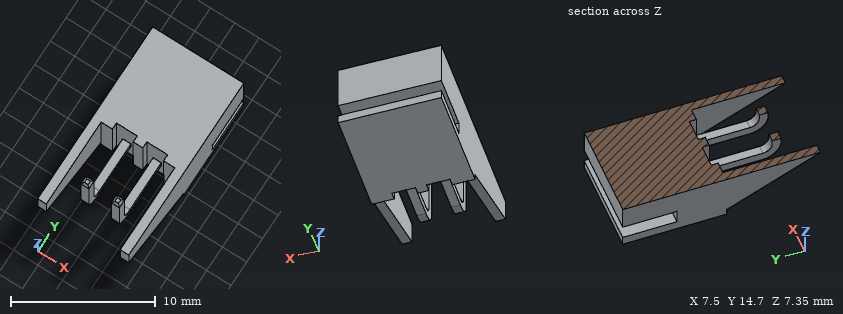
import cadquery as cq

width = 7.5
length = 14.7
height = 5.67
wall = 0.72
block_length = 7.7
block_front = length - block_length
toe_height = 0.49
nose_bottom = 3.7

slot_bottom = 0.75
slot_top = 1.84
slot_depth = 4.01

groove_width = 1.7
groove_depth = 0.51

pitch = 2.5
pin_size = 0.68
pin_bottom = 2.0
pin_top = 7.35
pin_front = 2.15
bend_inner = 0.68
bend_outer = bend_inner + pin_size
tip_chamfer = 0.19
pin_embed = 0.3
groove_back = block_front + groove_depth
pin_positions = (-pitch / 2, pitch / 2)


def box(x_size, y_start, y_end, z_start, z_end):
    """Box centred on X, spanning the given Y and Z ranges."""
    return (
        cq.Workplane("XY", origin=(0, y_start, z_start))
        .box(x_size, y_end - y_start, z_end - z_start, centered=(True, False, False))
    )


def make_housing():
    """Solid block with two tapering side walls, slotted at the back."""
    profile = [
        (block_front, 0),
        (length, 0),
        (length, height),
        (0, height),
        (0, nose_bottom),
        (block_front, toe_height),
    ]
    body = cq.Workplane("YZ").polyline(profile).close().extrude(width / 2, both=True)
    body = body.cut(box(width - 2 * wall, 0, block_front, 0, height))
    body = body.cut(box(width, length - slot_depth, length, slot_bottom, slot_top))
    groove = box(groove_width, block_front, groove_back, 0, height)
    for x in pin_positions:
        body = body.cut(groove.translate((x, 0, 0)))
    return body


def make_pin():
    """Horizontal pin that bends upward and ends in a chamfered tip."""
    pin_end = groove_back + pin_embed
    bend_y = pin_front + bend_outer
    bend_z = pin_bottom + bend_outer
    pin = (
        cq.Workplane("YZ")
        .moveTo(pin_end, pin_bottom)
        .lineTo(bend_y, pin_bottom)
        .radiusArc((pin_front, bend_z), bend_outer)
        .lineTo(pin_front, pin_top)
        .lineTo(pin_front + pin_size, pin_top)
        .lineTo(pin_front + pin_size, bend_z)
        .radiusArc((bend_y, pin_bottom + pin_size), -bend_inner)
        .lineTo(pin_end, pin_bottom + pin_size)
        .close()
        .extrude(pin_size / 2, both=True)
    )
    return pin.faces(">Z").chamfer(tip_chamfer)


result = make_housing()
for pin_x in pin_positions:
    result = result.union(make_pin().translate((pin_x, 0, 0)))